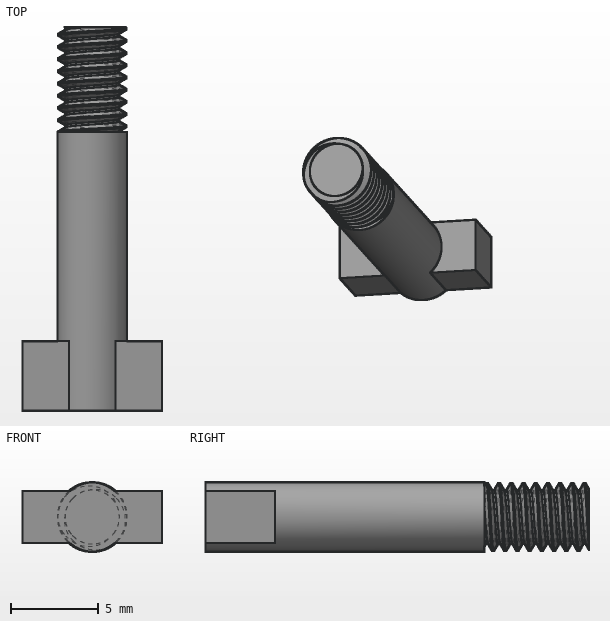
import cadquery as cq
import math

total_length = 22
shank_diameter = 4.0
core_diameter = 3.1
thread_length = 6.0
head_width = 8.0
head_length = 4.0
head_height = 3.0

crest_diameter = 3.92
pitch = 0.7
crest_width = 0.09
flank_angle = 30
crest_to_tip = 0.085
turns = 10
root_overlap = 0.02

shank_length = total_length - thread_length
core_radius = core_diameter / 2
crest_radius = crest_diameter / 2


def rod(diameter, start, length):
    """Round rod along +Y that starts at the given Y."""
    base = cq.Workplane("XZ", origin=(0, start, 0))
    return base.circle(diameter / 2).extrude(-length)


def make_bolt():
    """T-shaped head, plain shank and the core that carries the thread."""
    shank = rod(shank_diameter, 0, shank_length)
    core = rod(core_diameter, shank_length, thread_length)
    head = cq.Workplane("XY").box(head_width, head_length, head_height, centered=(True, False, True))
    return shank.union(core).union(head)


def make_thread():
    """Right-handed coil of trapezoidal section, cut flush at the shank and the tip."""
    root_radius = core_radius - root_overlap
    half_crest = crest_width / 2
    half_root = half_crest + (crest_radius - root_radius) * math.tan(math.radians(flank_angle))
    helix = cq.Wire.makeHelix(pitch, turns * pitch, core_radius)
    section = cq.Workplane("XZ").polyline([
        (root_radius, -half_root),
        (crest_radius, -half_crest),
        (crest_radius, half_crest),
        (root_radius, half_root),
    ]).close()
    coil = section.sweep(cq.Workplane(obj=helix), isFrenet=True)

    turns_below_tip = turns - 1
    coil_start = total_length - crest_to_tip - turns_below_tip * pitch
    coil = coil.rotate((0, 0, 0), (1, 0, 0), -90).translate((0, coil_start, 0))

    core = rod(core_diameter, shank_length, thread_length)
    sleeve = rod(shank_diameter, shank_length, thread_length).cut(core)
    return coil.intersect(sleeve)


bolt = make_bolt()
thread = make_thread()
result = cq.Compound.makeCompound([bolt.val(), *thread.solids().vals()])